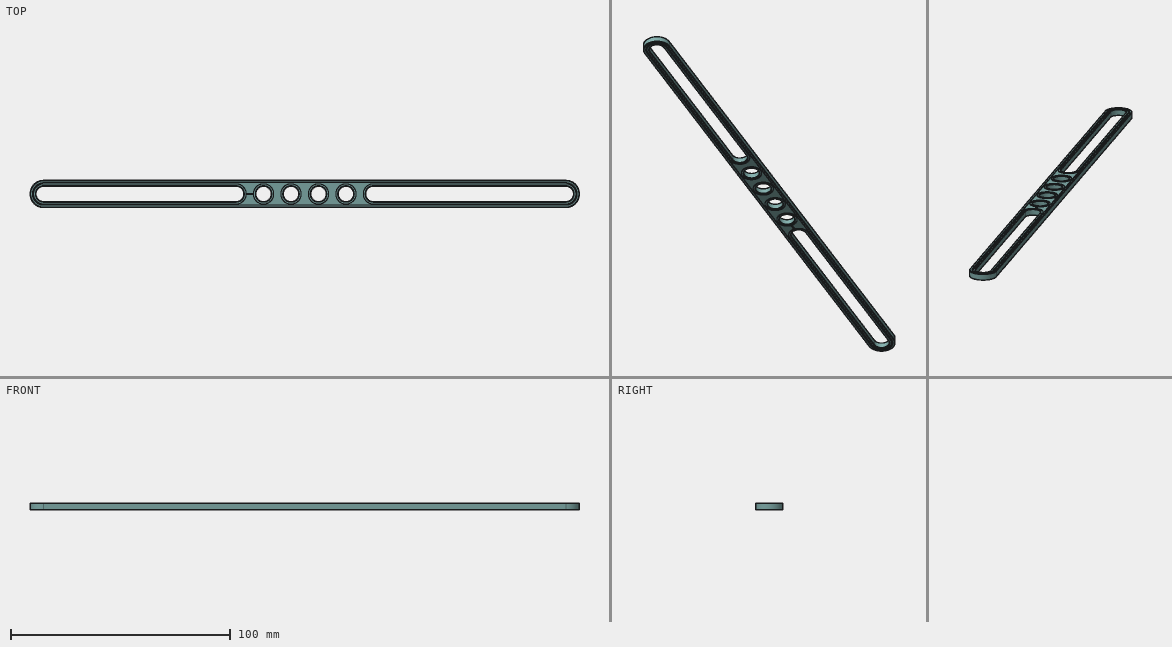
import cadquery as cq

length = 250.0
width = 12.5
core_thickness = 2.5
rim_height = 0.3
thickness = core_thickness + 2 * rim_height

rim_wall = 1.12
edge_chamfer = 0.28

opening_width = 7.0
hole_pitch = 12.5
hole_count = 4

rib_width = 0.5

slot_inner_x = (hole_count + 1) * hole_pitch / 2
slot_outer_x = (length - width) / 2
slot_x = (slot_inner_x + slot_outer_x) / 2


def make_bar_prism(inset, height):
    """Round-ended prism centred on mid-thickness, its outline inset from the bar's."""
    outline = cq.Workplane("XY").slot2D(length - 2 * inset, width - 2 * inset)
    return outline.extrude(height / 2, both=True)


def make_opening_prisms(prism_width, height):
    """Prisms at all holes and slots, centred on mid-thickness, all of the given width."""
    holes = cq.Workplane("XY").rarray(hole_pitch, 2.5, hole_count, 1).circle(prism_width / 2)
    slot_length = slot_outer_x - slot_inner_x + prism_width
    slots = cq.Workplane("XY").pushPoints([(-slot_x, 0), (slot_x, 0)]).slot2D(slot_length, prism_width)
    return holes.extrude(height / 2, both=True).union(slots.extrude(height / 2, both=True))


def make_rib():
    """Full-height rib running from the slot's inner arc centre to the first hole's centre."""
    rib = cq.Workplane("XY").box(hole_pitch, rib_width, thickness)
    return rib.translate((hole_pitch / 2 - slot_inner_x, 0, 0))


def make_recesses():
    """Material removed from both faces between the rims, down to the core plate."""
    recesses = make_bar_prism(rim_wall, thickness)
    recesses = recesses.cut(make_bar_prism(0, core_thickness))
    recesses = recesses.cut(make_opening_prisms(opening_width + 2 * rim_wall, thickness))
    return recesses.cut(make_rib())


bar = make_bar_prism(0, thickness).cut(make_opening_prisms(opening_width, thickness))

bar = bar.faces("|Z").edges().chamfer(edge_chamfer)
result = bar.cut(make_recesses())